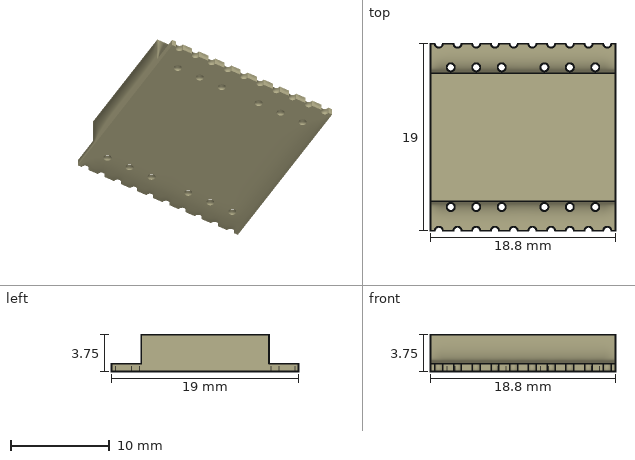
import cadquery as cq

board_width = 18.8
board_length = 19.0
board_thickness = 0.8

total_height = 3.75
block_length = 13.0

notch_count = 10
notch_pitch = 1.9
notch_diameter = 0.8

hole_diameter = 0.8
hole_pitch = 2.58
holes_per_group = 3
inner_hole_x = 2.17
hole_row_y = 7.09


def round_cutters(points, diameter):
    """Vertical cylinders through the board at the given XY points."""
    return cq.Workplane("XY").pushPoints(points).circle(diameter / 2).extrude(board_thickness)


def make_body():
    base_centering = (True, True, False)
    board = cq.Workplane("XY").box(board_width, board_length, board_thickness, centered=base_centering)
    block = cq.Workplane("XY").box(board_width, block_length, total_height, centered=base_centering)
    return board.union(block)


def notch_points():
    first_x = -notch_pitch * (notch_count - 1) / 2
    return [
        (first_x + i * notch_pitch, side * board_length / 2)
        for side in (-1, 1)
        for i in range(notch_count)
    ]


def hole_points():
    return [
        (x_side * (inner_hole_x + i * hole_pitch), y_side * hole_row_y)
        for y_side in (-1, 1)
        for x_side in (-1, 1)
        for i in range(holes_per_group)
    ]


result = (
    make_body()
    .cut(round_cutters(notch_points(), notch_diameter))
    .cut(round_cutters(hole_points(), hole_diameter))
)